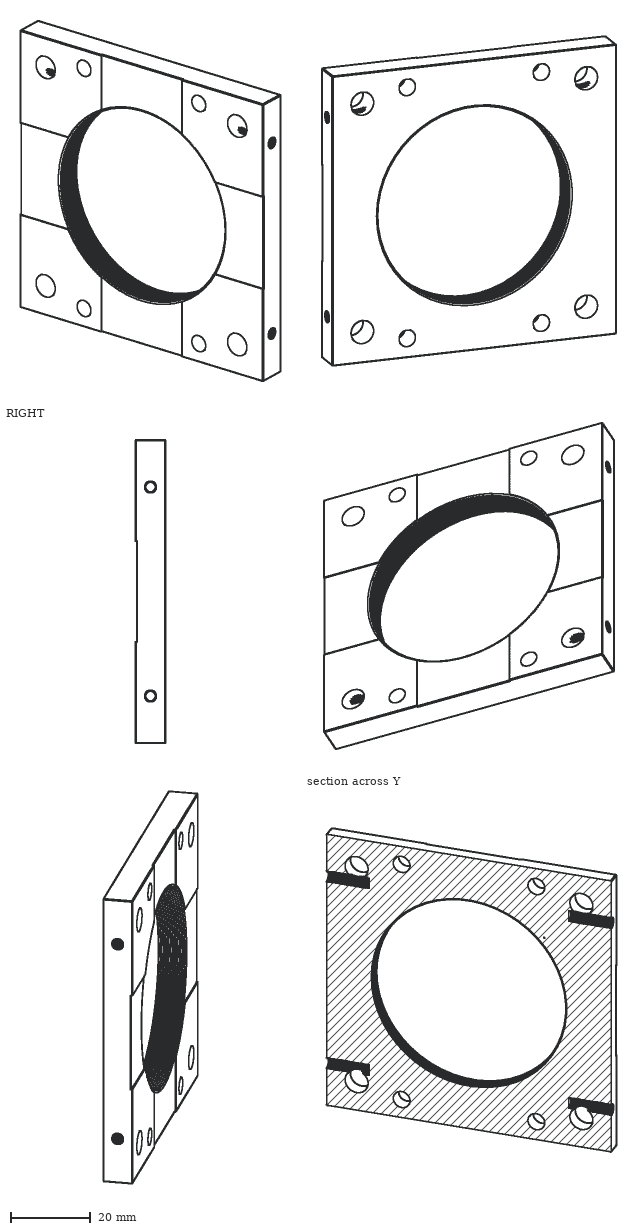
import cadquery as cq

SIDE = 76.2
THICKNESS = 7.6
EDGE_CHAMFER = 0.2

RELIEF_WIDTH = 25.3
RELIEF_DEPTH = 0.3

BORE_CREST_DIAMETER = 51.6
BORE_ROOT_DIAMETER = 52.5
BORE_THREAD_RINGS = 12

CORNER_HOLE_DIAMETER = 6.0
CORNER_HOLE_OFFSET = 30.0
SMALL_HOLE_DIAMETER = 4.35
SMALL_HOLE_X = 18.0
SMALL_HOLE_Z = 33.0

SIDE_CREST_DIAMETER = 2.45
SIDE_ROOT_DIAMETER = 3.0
SIDE_THREAD_RINGS = 23
SIDE_HOLE_Z = 26.2
SIDE_HOLE_DEPTH = 11.4


def make_plate(front_y):
    """Square plate with all edges chamfered, from front_y to the common back face."""
    back_y = THICKNESS / 2
    plate = cq.Workplane("XY").box(SIDE, back_y - front_y, SIDE)
    plate = plate.edges().chamfer(EDGE_CHAMFER)
    return plate.translate((0, (front_y + back_y) / 2, 0))


def make_relieved_plate():
    """Full-thickness corner pads joined by a slightly thinner cross."""
    upright = cq.Workplane("XY").box(RELIEF_WIDTH, THICKNESS, SIDE)
    level = cq.Workplane("XY").box(SIDE, THICKNESS, RELIEF_WIDTH)
    cross = upright.union(level)
    front_y = -THICKNESS / 2
    corner_pads = make_plate(front_y).cut(cross)
    thin_plate = make_plate(front_y + RELIEF_DEPTH)
    return corner_pads.union(thin_plate)


def make_thread_cutter(crest_diameter, root_diameter, rings, length):
    """Threaded hole as closed V-shaped rings, along +Z from its mouth at the origin."""
    pitch = length / rings
    crest = crest_diameter / 2
    root = root_diameter / 2
    points = [(0, 0), (root, 0)]
    for ring in range(rings):
        points.append((crest, (ring + 0.5) * pitch))
        points.append((root, (ring + 1) * pitch))
    points.append((0, length))
    profile = cq.Workplane("XZ").polyline(points).close()
    return profile.revolve(360, (0, 0, 0), (0, 1, 0))


def make_bore():
    """Central bore, plain through the corner pads and threaded from the relief floor to the back."""
    threaded_length = THICKNESS - RELIEF_DEPTH
    thread = make_thread_cutter(
        BORE_CREST_DIAMETER, BORE_ROOT_DIAMETER, BORE_THREAD_RINGS, threaded_length
    )
    entry = cq.Workplane("XY").circle(BORE_ROOT_DIAMETER / 2).extrude(-RELIEF_DEPTH)
    bore = thread.union(entry)
    relief_floor_y = -THICKNESS / 2 + RELIEF_DEPTH
    return bore.rotate((0, 0, 0), (1, 0, 0), -90).translate((0, relief_floor_y, 0))


def make_through_holes(diameter, x_offset, z_offset):
    """Four holes along Y, mirrored about the plate centre."""
    spots = [(x, z) for x in (-x_offset, x_offset) for z in (-z_offset, z_offset)]
    plane = cq.Workplane("XZ").workplane(offset=-THICKNESS / 2)
    return plane.pushPoints(spots).circle(diameter / 2).extrude(THICKNESS)


def make_side_holes():
    """Two threaded holes running inward from each X side."""
    hole = make_thread_cutter(
        SIDE_CREST_DIAMETER, SIDE_ROOT_DIAMETER, SIDE_THREAD_RINGS, SIDE_HOLE_DEPTH
    )
    left_hole = hole.rotate((0, 0, 0), (0, 1, 0), 90).translate((-SIDE / 2, 0, 0))
    right_hole = left_hole.mirror("YZ")
    holes = cq.Workplane("XY")
    for z in (-SIDE_HOLE_Z, SIDE_HOLE_Z):
        holes = holes.add(left_hole.translate((0, 0, z)))
        holes = holes.add(right_hole.translate((0, 0, z)))
    return holes.combine()


result = make_relieved_plate().cut(make_bore())
result = result.cut(make_through_holes(CORNER_HOLE_DIAMETER, CORNER_HOLE_OFFSET, CORNER_HOLE_OFFSET))
result = result.cut(make_through_holes(SMALL_HOLE_DIAMETER, SMALL_HOLE_X, SMALL_HOLE_Z))
result = result.cut(make_side_holes())